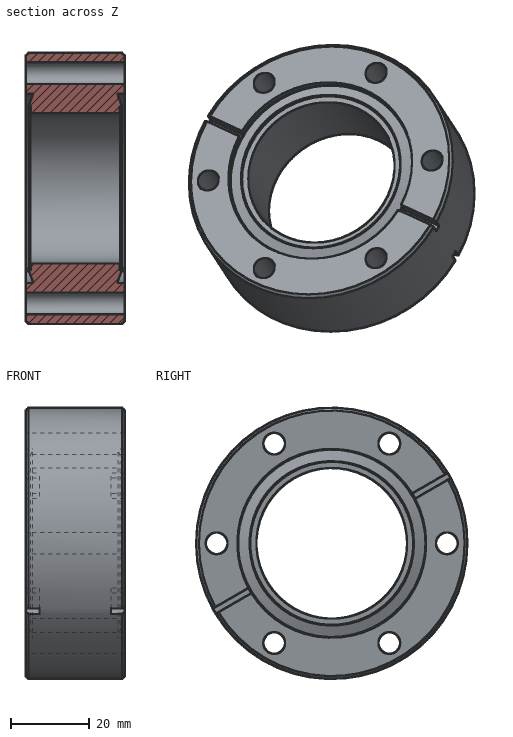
import cadquery as cq
import math

outer_radius = 34.7
bore_radius = 19.2
thickness = 25.4
edge_chamfer = 0.75

recess_radius = 24.1
knife_radius = 21.0
inner_wall_radius = 20.8
recess_depth = 1.8
floor_width = 0.2
knife_slope = 20.0
slope_radius = recess_radius - floor_width
knife_depth = recess_depth - (slope_radius - knife_radius) * math.tan(math.radians(knife_slope))
inner_floor_depth = 1.3

hole_count = 6
hole_diameter = 5.5
bolt_circle_radius = 29.4

groove_width = 1.5
groove_depth = 3.6
groove_angle = 30.0

half_thickness = thickness / 2


def end_plane():
    """Sketch plane on the -X end face, with its normal along +X."""
    return cq.Workplane("YZ", origin=(-half_thickness, 0, 0))


def make_ring():
    """Turned ring with chamfered rims and a through bore."""
    ring = end_plane().circle(outer_radius).extrude(thickness)
    ring = ring.faces("<X or >X").edges().chamfer(edge_chamfer)
    bore = end_plane().circle(bore_radius).extrude(thickness)
    return ring.cut(bore)


def make_seal_recess():
    """Material removed from the -X face, leaving the circular knife edge."""
    face_x = -half_thickness
    profile = [
        (face_x, 0),
        (face_x, recess_radius),
        (face_x + recess_depth, recess_radius),
        (face_x + recess_depth, slope_radius),
        (face_x + knife_depth, knife_radius),
        (face_x + knife_depth, inner_wall_radius),
        (face_x + inner_floor_depth, inner_wall_radius),
        (face_x + inner_floor_depth, 0),
    ]
    return cq.Workplane("XY").polyline(profile).close().revolve(360, (0, 0, 0), (1, 0, 0))


def make_bolt_holes():
    """Through holes evenly spaced on the bolt circle, the first one on +Y."""
    return (
        end_plane()
        .polarArray(bolt_circle_radius, 0, 360, hole_count)
        .circle(hole_diameter / 2)
        .extrude(thickness)
    )


def make_leak_grooves():
    """Two opposite grooves in the -X face, from the seal recess out to the rim."""
    bar = cq.Workplane("XY").box(groove_depth, 2 * outer_radius, groove_width)
    hub = cq.Workplane("YZ").circle(recess_radius).extrude(groove_depth / 2, both=True)
    bar = bar.cut(hub)
    bar = bar.rotate((0, 0, 0), (1, 0, 0), groove_angle)
    return bar.translate((-half_thickness + groove_depth / 2, 0, 0))


result = make_ring().cut(make_bolt_holes())
for face_cut in (make_seal_recess(), make_leak_grooves()):
    result = result.cut(face_cut).cut(face_cut.mirror("YZ"))